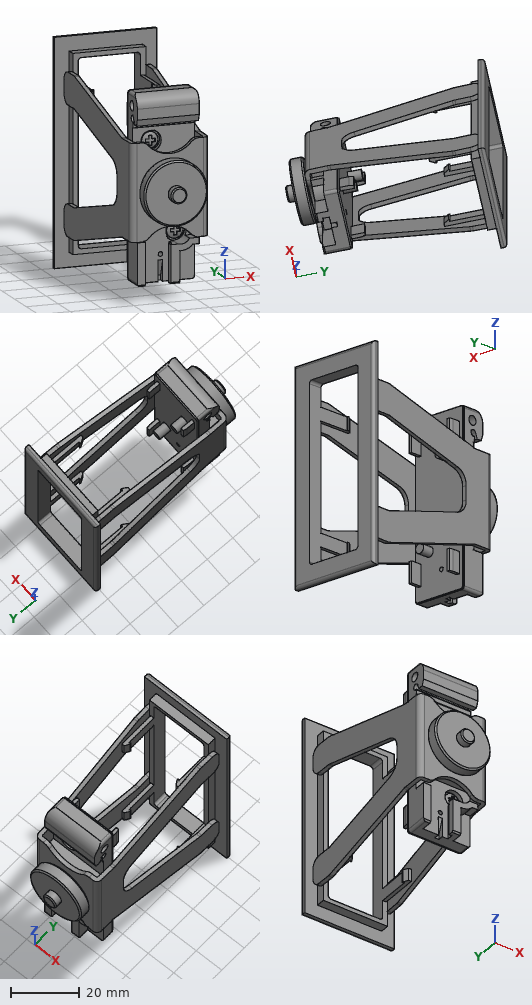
import cadquery as cq
import math


block_width = 19.5
block_height = 58.0

panel_width = 32.2
panel_height = 70.2
panel_thickness = 2.0
panel_edge_radius = 1.0
rim_width = 23.0
rim_height = 61.1
rim_depth = 3.0
opening_width = block_width
opening_height = block_height
opening_radius = 1.0
clip_thickness = 1.25
clip_height = 4.35
clip_middle = 19.8
clip_end_depth = 15.9
hook_reach = 0.55
hook_tip_depth = 13.8
hook_nose_depth = 14.3
hook_undercut = 0.3
hook_end_inset = 0.35

sheet = 1.5
arm_spread = 13.1
arm_tilt = math.radians(1)
plate_depth = 53.2
bend_outer_radius = 1.75
bend_inner_radius = bend_outer_radius - sheet
plate_half_height = 15.0
arm_width = 10.0
arm_slope = math.radians(14.8)
arm_kink_depth = 8.0
arm_kink_radius = 3.0
arm_end_radius = 3.0
window_depth = 41.8
window_radius = 5.0
notch_bottom = 11.0
notch_radius = 9.0
notch_lead_radius = 3.0

block_thickness = 8.5
block_corner_radius = 1.0
block_front_depth = plate_depth - sheet
block_back_depth = block_front_depth - block_thickness
floor_depth = 47.8
back_step_inset = 0.245
back_step_depth = 0.5

head_round_radius = 4.0
head_flat_bottom = 21.7
lip_bottom = 19.65
lip_front_depth = 51.05
lip_back_depth = 49.3
groove_radius = 1.0
groove_depth = 47.7
groove_height = 21.2
ledge_front_depth = 48.1
ledge_top = 20.15
ledge_bottom = 18.4
cross_hole_diameter = 3.0
cross_hole_depth = 47.25
cross_hole_height = 25.0

band_half_height = 9.5

wall_top = -15.6
side_wall_width = 2.6
rib_left = 0.8
rib_right = 3.65
rib_top = -17.05
rib_groove_width = 2.0
rib_groove_reach = 1.0
shelf_bottom = -17.55
shelf_arc_radius = 5.2
wall_end_chamfer = 0.5
pin_hole_diameter = 1.4
pin_hole_x = -1.0
pin_hole_z = -20.65
slot_width = 1.4
slot_top = -22.4
slot_ramp_end = -27.45
slot_sink = 1.75

tab_outer_x = 8.35
tab_thickness = 1.2
tab_height = 6.95
tab_middle = 20.5
tab_end_depth = 39.1
tab_taper_length = 1.3
tab_taper = 0.2

screw_x = 3.9
screw_z = 14.0
shaft_diameter = 3.2
screw_head_diameter = 5.2
screw_head_side = 0.5
screw_head_dome = 0.7
counterbore_diameter = 6.4
counterbore_depth = 1.5
cross_length = 3.0
cross_width = 1.0
cross_depth = 0.8

knob_diameter = 20.0
knob_back_depth = 54.0
knob_front_depth = 58.2
knob_chamfer = 0.5
hub_diameter = 10.0
stud_diameter = 5.0
stud_end_depth = 60.85
stud_chamfer = 0.4


def box(x_range, depth_range, z_range):
    """An axis-aligned box between two X values, two depths and two Z values."""
    x0, x1 = min(x_range), max(x_range)
    near, far = min(depth_range), max(depth_range)
    z0, z1 = min(z_range), max(z_range)
    return cq.Workplane("XY").box(x1 - x0, far - near, z1 - z0, centered=False).translate((x0, -far, z0))


def facing(depth):
    """A drawing plane at a depth, with X to the right and Z up; extrusion goes towards -Y."""
    return cq.Workplane("XZ", origin=(0, -depth, 0))


def side_plane(half_width):
    """A drawing plane of Y and Z at X = -half_width; extrusion goes towards +X."""
    return cq.Workplane("YZ", origin=(-half_width, 0, 0))


def rounded_bar(width, height, radius, near, far):
    """A bar along Y with a rounded rectangular section."""
    bar = facing(near).rect(width, height).extrude(far - near)
    return bar.edges("|Y").fillet(radius)


def cylinder(diameter, near, far, x=0, z=0):
    """A cylinder along Y between two depths."""
    return facing(near).center(x, z).circle(diameter / 2).extrude(far - near)


def mirror_x(shape):
    return shape.union(shape.mirror("YZ"))


def mirror_z(shape):
    return shape.union(shape.mirror("XY"))


def make_clip():
    """The upper clip on the +X side, with a hook that points inwards."""
    inner = opening_width / 2
    outer = inner + clip_thickness
    tip = inner - hook_reach
    clip = (
        cq.Workplane("XY", origin=(0, 0, clip_middle - clip_height / 2))
        .moveTo(outer, -rim_depth)
        .lineTo(outer, -clip_end_depth)
        .lineTo(inner + hook_end_inset, -clip_end_depth)
        .lineTo(tip, -hook_nose_depth)
        .lineTo(tip, -hook_tip_depth)
        .lineTo(inner, -hook_tip_depth - hook_undercut)
        .lineTo(inner, -rim_depth)
        .close()
        .extrude(clip_height)
    )
    return clip


def make_frame():
    panel = box(
        (-panel_width / 2, panel_width / 2),
        (-panel_thickness, 0),
        (-panel_height / 2, panel_height / 2),
    )
    panel = panel.faces(">Y").edges().fillet(panel_edge_radius)
    rim = facing(0).rect(rim_width, rim_height).extrude(rim_depth)
    opening = rounded_bar(opening_width, opening_height, opening_radius, -panel_thickness, rim_depth)
    clips = mirror_z(mirror_x(make_clip()))
    return panel.union(rim).cut(opening).union(clips)


def sheet_outline(end_half_width, depth, radius):
    """A solid U block with slightly converging sides and rounded far corners."""
    far_half_width = end_half_width - depth * math.tan(arm_tilt)
    block = (
        cq.Workplane("XY", origin=(0, 0, -panel_height / 2))
        .polyline(
            [
                (-end_half_width, 0),
                (end_half_width, 0),
                (far_half_width, -depth),
                (-far_half_width, -depth),
            ]
        )
        .close()
        .extrude(panel_height)
    )
    return block.edges("|Z and <Y").fillet(radius)


def make_side_profile():
    """The forked outline of the bracket's sides, as a slab across X."""
    arm_outer = plate_half_height + arm_width
    slope = math.tan(arm_slope)
    plate_start = arm_kink_depth + arm_width / slope
    window_end_half = plate_half_height - (window_depth - arm_kink_depth) * slope
    half_width = arm_spread
    plate_half = plate_half_height
    outline = (
        side_plane(half_width)
        .polyline(
            [
                (0, -arm_outer),
                (-arm_kink_depth, -arm_outer),
                (-plate_start, -plate_half),
                (-plate_depth, -plate_half),
                (-plate_depth, plate_half),
                (-plate_start, plate_half),
                (-arm_kink_depth, arm_outer),
                (0, arm_outer),
            ]
        )
        .close()
        .extrude(2 * half_width)
    )
    window = (
        side_plane(half_width)
        .polyline(
            [
                (0, -plate_half),
                (-arm_kink_depth, -plate_half),
                (-window_depth, -window_end_half),
                (-window_depth, window_end_half),
                (-arm_kink_depth, plate_half),
                (0, plate_half),
            ]
        )
        .close()
        .extrude(2 * half_width)
    )

    def edges_near(depth):
        margin = 0.7
        return cq.selectors.BoxSelector(
            (-panel_width, -depth - margin, -panel_height), (panel_width, -depth + margin, panel_height)
        )

    window = window.edges("|X").edges(edges_near(window_depth)).fillet(window_radius)
    window = window.edges("|X").edges(edges_near(arm_kink_depth)).fillet(arm_kink_radius)
    outline = outline.edges("|X").edges(edges_near(arm_kink_depth)).fillet(arm_kink_radius)
    outline = outline.edges("|X").edges(edges_near(plate_start)).fillet(arm_kink_radius)
    return outline.cut(window).edges("|X and >Y").fillet(arm_end_radius)


def make_notch():
    """The S-sided notch in the plate's upper edge: a wide arc that two small arcs lead into."""
    reach = notch_radius + notch_lead_radius
    arc_centre_z = notch_bottom + notch_radius
    lead_centre_z = plate_half_height - notch_lead_radius
    lead_centre_x = math.sqrt(reach**2 - (arc_centre_z - lead_centre_z) ** 2)
    turn = math.asin(lead_centre_x / reach)
    join_x = notch_radius * math.sin(turn)
    join_z = arc_centre_z - notch_radius * math.cos(turn)
    lead_mid_x = lead_centre_x - notch_lead_radius * math.sin(turn / 2)
    lead_mid_z = lead_centre_z + notch_lead_radius * math.cos(turn / 2)
    return (
        facing(plate_depth - sheet)
        .moveTo(-lead_centre_x, plate_half_height)
        .threePointArc((-lead_mid_x, lead_mid_z), (-join_x, join_z))
        .threePointArc((0, notch_bottom), (join_x, join_z))
        .threePointArc((lead_mid_x, lead_mid_z), (lead_centre_x, plate_half_height))
        .close()
        .extrude(sheet)
    )


def make_bracket():
    outside = sheet_outline(arm_spread, plate_depth, bend_outer_radius)
    inside = sheet_outline(arm_spread - sheet, plate_depth - sheet, bend_inner_radius)
    bracket = outside.cut(inside).intersect(make_side_profile())
    notch = make_notch()
    return bracket.cut(notch).cut(notch.mirror("XY"))


def make_base():
    """The base plate of the block, with a narrow step round its back face."""
    step_end = block_back_depth + back_step_depth
    base = rounded_bar(block_width, block_height, block_corner_radius, step_end, floor_depth)
    step = rounded_bar(
        block_width - 2 * back_step_inset,
        block_height - 2 * back_step_inset,
        block_corner_radius - back_step_inset,
        block_back_depth,
        step_end,
    )
    return base.union(step)


def make_head():
    """The rounded clamp head whose lip hangs in front of the groove."""
    top = block_height / 2
    round_z = top - head_round_radius
    round_depth = block_front_depth - head_round_radius
    diagonal = head_round_radius * math.sin(math.radians(45))
    lip_y = lip_back_depth - groove_depth
    lip_z = groove_height - lip_bottom
    lip_angle = math.atan2(lip_z, lip_y)
    tangent_angle = math.acos(groove_radius / math.hypot(lip_y, lip_z)) - lip_angle
    tangent_depth = groove_depth + groove_radius * math.cos(tangent_angle)
    tangent_z = groove_height + groove_radius * math.sin(tangent_angle)
    return (
        side_plane(block_width / 2)
        .moveTo(-block_back_depth - back_step_depth, top)
        .lineTo(-round_depth, top)
        .threePointArc((-round_depth - diagonal, round_z + diagonal), (-block_front_depth, round_z))
        .lineTo(-block_front_depth, head_flat_bottom)
        .lineTo(-lip_front_depth, lip_bottom)
        .lineTo(-lip_back_depth, lip_bottom)
        .lineTo(-tangent_depth, tangent_z)
        .lineTo(-block_back_depth - back_step_depth, tangent_z)
        .close()
        .extrude(block_width)
    )


def make_cross_bore(radius, depth, height):
    return side_plane(block_width / 2).center(-depth, height).circle(radius).extrude(block_width)


def make_walls():
    """The left wall and the undercut rib, whose top bends along an arc to the right side."""
    side = block_width / 2
    bottom = -block_height / 2
    left_wall = box((-side, side_wall_width - side), (floor_depth, block_front_depth), (bottom, wall_top))
    shelf_end_x = screw_x + math.sqrt(shelf_arc_radius**2 - (shelf_bottom + screw_z) ** 2)
    shelf_start_z = -screw_z - math.sqrt(shelf_arc_radius**2 - (rib_right - screw_x) ** 2)
    middle = math.radians(-70)
    arc_middle = (
        screw_x + shelf_arc_radius * math.cos(middle),
        -screw_z + shelf_arc_radius * math.sin(middle),
    )
    rib = (
        facing(floor_depth)
        .moveTo(rib_left, bottom)
        .lineTo(rib_left, rib_top)
        .lineTo(screw_x, rib_top)
        .lineTo(screw_x, wall_top)
        .lineTo(side, wall_top)
        .lineTo(side, shelf_bottom)
        .lineTo(shelf_end_x, shelf_bottom)
        .threePointArc(arc_middle, (rib_right, shelf_start_z))
        .lineTo(rib_right, bottom)
        .close()
        .extrude(block_front_depth - floor_depth)
    )
    groove = box(
        (rib_left, rib_left + rib_groove_reach),
        (floor_depth, floor_depth + rib_groove_width),
        (bottom, rib_top),
    )
    walls = left_wall.union(rib.cut(groove))
    return walls.faces("<Z").edges("<Y").chamfer(wall_end_chamfer)


def make_slot():
    """A slot in the floor that slopes deeper and then runs level to the bottom end."""
    bottom = -block_height / 2
    slot_depth = floor_depth - slot_sink
    return (
        cq.Workplane("YZ", origin=(pin_hole_x - slot_width / 2, 0, 0))
        .polyline(
            [
                (-floor_depth, slot_top),
                (-slot_depth, slot_ramp_end),
                (-slot_depth, bottom),
                (-floor_depth, bottom),
            ]
        )
        .close()
        .extrude(slot_width)
    )


def make_tab():
    """The upper tab on the +X side; its outer face tapers towards the free end."""
    inner = tab_outer_x - tab_thickness
    return (
        cq.Workplane("XY", origin=(0, 0, tab_middle - tab_height / 2))
        .polyline(
            [
                (inner, -block_back_depth),
                (inner, -tab_end_depth),
                (tab_outer_x - tab_taper, -tab_end_depth),
                (tab_outer_x, -tab_end_depth - tab_taper_length),
                (tab_outer_x, -block_back_depth),
            ]
        )
        .close()
        .extrude(tab_height)
    )


def make_block():
    block = make_base().union(make_head()).union(make_walls())
    block = block.union(
        box(
            (-block_width / 2, block_width / 2),
            (floor_depth, ledge_front_depth),
            (ledge_bottom, ledge_top),
        )
    )
    block = block.union(
        box(
            (-block_width / 2, block_width / 2),
            (floor_depth, block_front_depth),
            (-band_half_height, band_half_height),
        )
    )
    envelope = rounded_bar(
        block_width, block_height, block_corner_radius, block_back_depth, block_front_depth
    )
    block = block.intersect(envelope)
    block = block.cut(make_cross_bore(groove_radius, groove_depth, groove_height))
    block = block.cut(make_cross_bore(cross_hole_diameter / 2, cross_hole_depth, cross_hole_height))
    block = block.cut(cylinder(pin_hole_diameter, block_back_depth, floor_depth, pin_hole_x, pin_hole_z))
    block = block.cut(make_slot())
    for x, z in screw_places:
        block = block.cut(cylinder(shaft_diameter, block_back_depth, floor_depth, x, z))
        block = block.cut(cylinder(counterbore_diameter, seat_depth, block_front_depth, x, z))
    return block.union(mirror_z(mirror_x(make_tab())))


screw_places = [(-screw_x, screw_z), (screw_x, -screw_z)]
seat_depth = floor_depth - counterbore_depth


def make_screw(x, z):
    """A domed cross-head screw whose shaft passes right through the block."""
    radius = screw_head_diameter / 2
    side_end = seat_depth + screw_head_side
    crown = side_end + screw_head_dome
    dome_radius = (radius**2 + screw_head_dome**2) / (2 * screw_head_dome)
    dome = cq.Workplane("XY").sphere(dome_radius).translate((x, dome_radius - crown, z))
    head = cylinder(screw_head_diameter, seat_depth, crown, x, z).intersect(dome)
    shaft = cylinder(shaft_diameter, tab_end_depth, seat_depth, x, z)
    cross = facing(crown - cross_depth).center(x, z).rect(cross_length, cross_width).extrude(cross_depth)
    upright = facing(crown - cross_depth).center(x, z).rect(cross_width, cross_length).extrude(cross_depth)
    return head.union(shaft).cut(cross).cut(upright)


def make_knob():
    """The knob with the hub that rests on the bracket and the stud at its front."""
    disc = cylinder(knob_diameter, knob_back_depth, knob_front_depth).edges().chamfer(knob_chamfer)
    hub = cylinder(hub_diameter, plate_depth, knob_back_depth)
    stud = cylinder(stud_diameter, knob_front_depth, stud_end_depth)
    stud = stud.faces("<Y").edges().chamfer(stud_chamfer)
    return disc.union(hub).union(stud)


frame = make_frame()
bracket = make_bracket()
block = make_block()
screws = [make_screw(x, z) for x, z in screw_places]
knob = make_knob()

result = cq.Compound.makeCompound(
    [frame.val(), bracket.val(), block.val(), *[screw.val() for screw in screws], knob.val()]
)